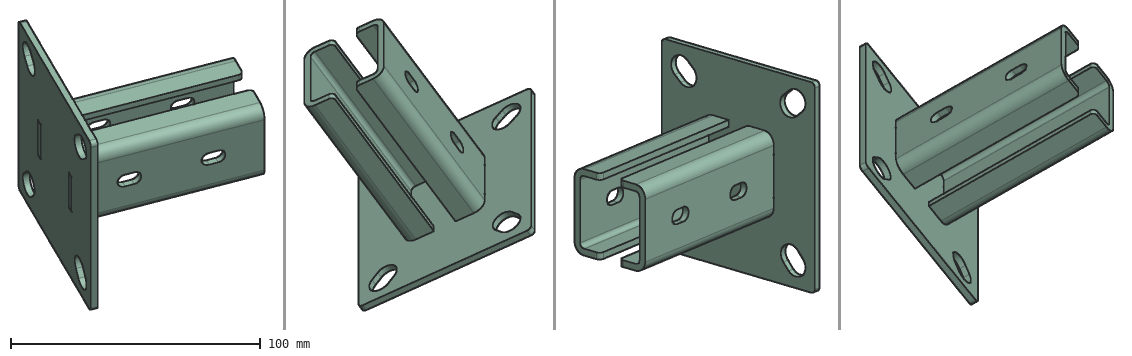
import cadquery as cq
import math

PLATE_WIDTH = 80.0
PLATE_HEIGHT = 90.0
PLATE_THICKNESS = 3.0
PLATE_CORNER_RADIUS = 2.0

MOUNT_SLOT_DIAMETER = 10.1
MOUNT_OUTER_X = 30.0
MOUNT_OUTER_Z = 35.0
UPPER_SLOT_SHIFT = (3.1, 2.7)
LOWER_SLOT_SHIFT = (2.7, 3.1)

CHANNEL_LENGTH = 80.0
CHANNEL_HEIGHT = 37.0
CHANNEL_SPAN = 37.0
CHANNEL_GAP = 10.0
SHEET_THICKNESS = 3.0
BEND_RADIUS = 5.0
FLANGE_CORNER_RADIUS = 2.0

TAB_HEIGHT = CHANNEL_HEIGHT / 2

WEB_SLOT_LENGTH = 10.2
WEB_SLOT_WIDTH = 6.2
WEB_SLOT_END_DISTANCE = 22.0

WEB_CENTER_X = (CHANNEL_SPAN - SHEET_THICKNESS) / 2
CHANNEL_END_Y = PLATE_THICKNESS + CHANNEL_LENGTH
SIDES = (-1, 1)


def make_tab(side):
    """Block filling the plate thickness in line with the web on the given side."""
    return cq.Workplane("XY").box(SHEET_THICKNESS, PLATE_THICKNESS, TAB_HEIGHT).translate(
        (side * WEB_CENTER_X, PLATE_THICKNESS / 2, 0)
    )


def make_mount_slot(x_side, z_side):
    """Cutter for the slanted slot in one corner of the plate."""
    shift_x, shift_z = UPPER_SLOT_SHIFT if z_side > 0 else LOWER_SLOT_SHIFT
    center_x = x_side * (MOUNT_OUTER_X - shift_x / 2)
    center_z = z_side * (MOUNT_OUTER_Z - shift_z / 2)
    slant = math.degrees(math.atan2(z_side * shift_z, x_side * shift_x))
    length = math.hypot(shift_x, shift_z) + MOUNT_SLOT_DIAMETER
    return (
        cq.Workplane("XZ")
        .center(center_x, center_z)
        .slot2D(length, MOUNT_SLOT_DIAMETER, slant)
        .extrude(-PLATE_THICKNESS)
    )


def make_plate():
    plate = (
        cq.Workplane("XZ")
        .rect(PLATE_WIDTH, PLATE_HEIGHT)
        .extrude(-PLATE_THICKNESS)
        .edges("|Y")
        .fillet(PLATE_CORNER_RADIUS)
    )
    for x_side in SIDES:
        plate = plate.cut(make_tab(x_side))
        for z_side in SIDES:
            plate = plate.cut(make_mount_slot(x_side, z_side))
    return plate


def make_web_slots():
    """Cutter for the two slots through the web."""
    slot_centers = [
        (PLATE_THICKNESS + WEB_SLOT_END_DISTANCE, 0),
        (CHANNEL_END_Y - WEB_SLOT_END_DISTANCE, 0),
    ]
    return (
        cq.Workplane("YZ")
        .pushPoints(slot_centers)
        .slot2D(WEB_SLOT_LENGTH, WEB_SLOT_WIDTH)
        .extrude(CHANNEL_SPAN / 2)
    )


def make_channel(side):
    """Channel on the +X side with its tab, mirrored for the -X side."""
    flange_width = (CHANNEL_SPAN - CHANNEL_GAP) / 2
    outer_x = CHANNEL_SPAN / 2
    inner_x = outer_x - SHEET_THICKNESS
    inner_height = CHANNEL_HEIGHT - 2 * SHEET_THICKNESS
    base = cq.Workplane("XZ", origin=(0, PLATE_THICKNESS, 0))

    channel = (
        base.center(outer_x - flange_width / 2, 0)
        .rect(flange_width, CHANNEL_HEIGHT)
        .extrude(-CHANNEL_LENGTH)
        .edges("|Y and >X")
        .fillet(BEND_RADIUS)
    )
    hollow = (
        base.center(inner_x / 2, 0)
        .rect(inner_x, inner_height)
        .extrude(-CHANNEL_LENGTH)
        .edges("|Y and >X")
        .fillet(BEND_RADIUS - SHEET_THICKNESS)
    )
    channel = channel.cut(hollow)
    channel = channel.edges("|Z and >Y and <X").fillet(FLANGE_CORNER_RADIUS)
    channel = channel.cut(make_web_slots()).union(make_tab(1))
    return channel if side > 0 else channel.mirror("YZ")


plate = make_plate()
channels = [make_channel(side) for side in SIDES]

result = cq.Compound.makeCompound([plate.val(), *[channel.val() for channel in channels]])